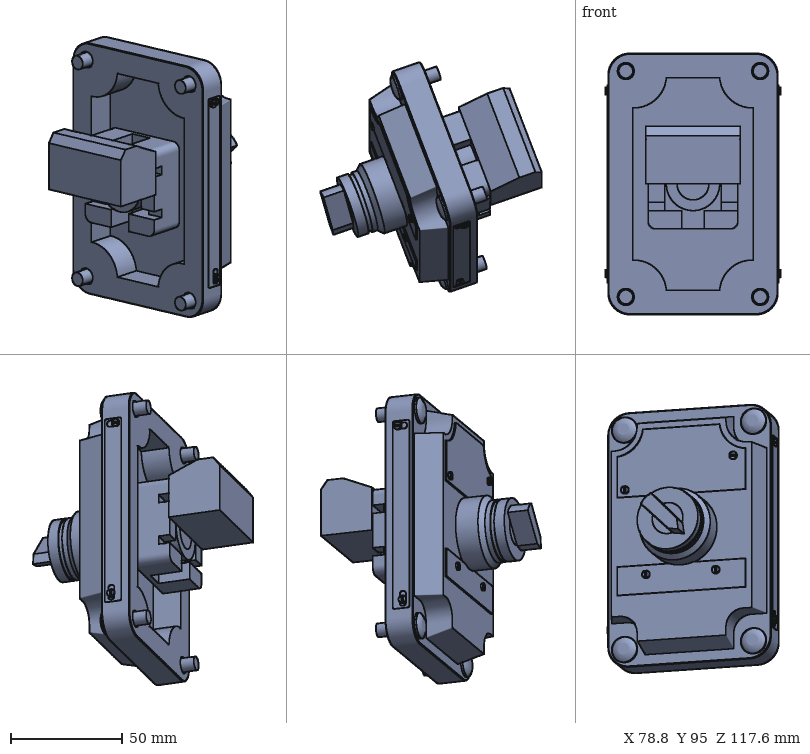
import cadquery as cq
import math


full_turn = 360

plate_width = 76.4
plate_height = 117.6
plate_depth = 13.3
plate_corner_radius = 9.9
plate_edge_chamfer = 0.4

cap_half_width = 32.9
cap_half_height = 50.3
cap_back = 25.9
cap_draft = 15.0
cap_depth = cap_back - plate_depth
cap_edge_fillet = 0.4
notch_inner_x = 20.8
notch_inner_z = 38.3
upper_notch_radius = 10.6
lower_notch_radius = 8.2

pocket_half_width = 27.2
pocket_half_height = 47.7
pocket_top_half_width = 12.0
pocket_side_half_height = 34.2
pocket_corner_radius = 14.7
pocket_depth = plate_depth

screw_x = 30.2
screw_z = 50.8
screw_radius = 3.2
screw_hole_radius = 3.8
screw_tip = -6.2
head_radius = 5.9
head_rim_height = 0.9
head_flat_radius = 2.7
dome_bulge = 0.2
head_height = 2.5

block_half = 20.2
block_front = -12.6
block_back = 4.9
block_corner_radius = 3.5
recess_half_width = 12.7
recess_floor = 2.4
slot_width = 10.2
side_notch_inner_z = 8.1
side_notch_depth = 5.3

barrel_radius = 12.0
spindle_radius = 7.2

collar_radius = 16.6
neck_radius = 14.2
groove_radius = 13.5
collar_end = 36.6
cone_end = 39.0
groove_start = 41.5
groove_end = 43.4
neck_end = 48.3

pointer_end = 58.0
pointer_tip = 7.8
pointer_shoulder_far = 7.0
pointer_shoulder_near = 2.7
pointer_round_far = 9.8
pointer_round_near = 5.0

handle_width = 42.3
handle_front = -37.0
handle_top = 26.0
handle_ridge_back = -26.2
handle_ridge_front = -33.9
handle_nose_top = 21.8

back_pad_inset = 2.9
back_pad_height = 0.7
upper_pad_bottom = collar_radius
lower_pad_top = -15.5
lower_pad_bottom = -28.7

side_pad_front = 3.8
side_pad_back = 11.8
side_pad_length = 88.7
side_pad_corner_radius = 0.9
side_pad_height = 0.4

pin_radius = 1.8
pin_height = 0.8
pin_slot_width = 0.8
pin_slot_depth = 0.5
upright = 90
left_pin = (-24.5, 32.3)
right_pin = (26.2, 19.8)
lower_pin_x = 16.3
lower_pin_z = -20.0
upper_side_pin = (6.4, 41.9)
lower_side_pin = (8.6, -40.3)

oblong_width = 2.9
upper_oblong_length = 5.8
upper_oblong = (7.8, 41.9)
lower_oblong_length = 7.0
lower_oblong = (8.6, -39.7)


def facing_front(y):
    """Sketch plane at depth y whose extrusions run toward -Y, with local axes X and Z."""
    return cq.Workplane("XZ", origin=(0, y, 0))


def cylinder(radius, y_start, y_end):
    """Cylinder on the spindle axis."""
    return facing_front(y_end).circle(radius).extrude(y_end - y_start)


def corner_points(x, z):
    return [(sx * x, sz * z) for sx in (-1, 1) for sz in (-1, 1)]


def corner_notches(inset, y_start, y_end):
    """Four cutters with a rounded inner corner that clear the screws, grown inward by the inset."""
    side = plate_height
    x = notch_inner_x - inset + side / 2
    z = notch_inner_z - inset + side / 2
    cutters = cq.Workplane()
    for centre_z, radius in ((z, upper_notch_radius), (-z, lower_notch_radius)):
        pair = facing_front(y_end).pushPoints([(-x, centre_z), (x, centre_z)]).rect(side, side)
        cutters = cutters.add(pair.extrude(y_end - y_start).edges("|Y").fillet(radius + inset))
    return cutters.combine()


def pocket_cutter():
    """Oblong pocket whose four corners curve inward around the screws."""
    w, h = pocket_half_width, pocket_half_height
    top, side = pocket_top_half_width, pocket_side_half_height
    mx, mz = pocket_arc_middle()
    outline = (
        facing_front(pocket_depth)
        .moveTo(-top, h)
        .lineTo(top, h)
        .threePointArc((mx, mz), (w, side))
        .lineTo(w, -side)
        .threePointArc((mx, -mz), (top, -h))
        .lineTo(-top, -h)
        .threePointArc((-mx, -mz), (-w, -side))
        .lineTo(-w, side)
        .threePointArc((-mx, mz), (-top, h))
        .close()
    )
    return outline.extrude(pocket_depth)


def pocket_arc_middle():
    """Middle of the upper right corner arc, bulging toward the pocket centre."""
    dx = pocket_half_width - pocket_top_half_width
    dz = pocket_half_height - pocket_side_half_height
    chord = math.hypot(dx, dz)
    sagitta = pocket_corner_radius - math.sqrt(pocket_corner_radius**2 - (chord / 2) ** 2)
    x = (pocket_half_width + pocket_top_half_width) / 2 - sagitta * dz / chord
    z = (pocket_half_height + pocket_side_half_height) / 2 - sagitta * dx / chord
    return x, z


def make_plate():
    plate = facing_front(plate_depth).rect(plate_width, plate_height).extrude(plate_depth)
    plate = plate.edges("|Y").fillet(plate_corner_radius)
    return plate.faces("<Y or >Y").chamfer(plate_edge_chamfer)


def make_cap():
    """Tapered block with notched corners; the slanted edges beside the notches are rounded."""
    cap = (
        facing_front(cap_back)
        .rect(2 * cap_half_width, 2 * cap_half_height)
        .extrude(cap_depth, taper=-cap_draft)
        .cut(corner_notches(0, plate_depth, cap_back))
    )
    return cap.edges("%LINE and (not |X) and (not |Y) and (not |Z)").fillet(cap_edge_fillet)


def slotted_pin(plane, slot_angle):
    """Round pin head raised along the plane's normal, with a slot across its end."""
    pin = cq.Workplane(plane).circle(pin_radius).extrude(pin_height)
    slot = (
        cq.Workplane(plane)
        .workplane(offset=pin_height - pin_slot_depth)
        .transformed(rotate=(0, 0, slot_angle))
        .rect(2 * pin_radius, pin_slot_width)
        .extrude(pin_slot_depth)
    )
    return pin.cut(slot)


def make_back_pads():
    """Pads that follow the cap outline and clear the collar, with four slotted pins."""
    pad_back = cap_back + back_pad_height
    pad_width = 2 * (cap_half_width - back_pad_inset)
    pads = cq.Workplane()
    for bottom, top in (
        (upper_pad_bottom, cap_half_height - back_pad_inset),
        (lower_pad_bottom, lower_pad_top),
    ):
        pad = facing_front(pad_back).center(0, (bottom + top) / 2).rect(pad_width, top - bottom)
        pads = pads.add(pad.extrude(back_pad_height))
    pads = pads.combine()
    pads = pads.cut(corner_notches(back_pad_inset, cap_back, pad_back))
    pads = pads.cut(cylinder(collar_radius, cap_back, pad_back))
    for (x, z), slot_angle in (
        (left_pin, 0),
        (right_pin, upright),
        ((-lower_pin_x, lower_pin_z), upright),
        ((lower_pin_x, lower_pin_z), upright),
    ):
        plane = cq.Plane(origin=(x, pad_back, z), xDir=(1, 0, 0), normal=(0, 1, 0))
        pads = pads.union(slotted_pin(plane, slot_angle))
    return pads


def make_side_pad():
    """Pad on the +X side of the plate, with a slotted pin in an oblong recess near each end."""
    inner = plate_width / 2
    face = inner + side_pad_height
    pad = (
        cq.Workplane("YZ", origin=(inner, (side_pad_front + side_pad_back) / 2, 0))
        .rect(side_pad_back - side_pad_front, side_pad_length)
        .extrude(side_pad_height)
        .edges("|X")
        .fillet(side_pad_corner_radius)
    )
    for pin, oblong, length, angle in (
        (upper_side_pin, upper_oblong, upper_oblong_length, 0),
        (lower_side_pin, lower_oblong, lower_oblong_length, upright),
    ):
        recess = cq.Workplane("YZ", origin=(inner, *oblong)).slot2D(length, oblong_width, angle)
        pad = pad.cut(recess.extrude(side_pad_height))
        shank = cq.Workplane("YZ", origin=(inner, *pin)).circle(pin_radius).extrude(side_pad_height)
        head_plane = cq.Plane(origin=(face, *pin), xDir=(0, 1, 0), normal=(1, 0, 0))
        pad = pad.union(shank).union(slotted_pin(head_plane, angle))
    return pad


def make_housing():
    holes = (
        facing_front(plate_depth)
        .pushPoints(corner_points(screw_x, screw_z))
        .circle(screw_hole_radius)
        .extrude(plate_depth)
    )
    side_pad = make_side_pad()
    housing = make_plate().union(make_cap()).union(make_back_pads())
    housing = housing.union(side_pad).union(side_pad.mirror("YZ"))
    return housing.cut(pocket_cutter()).cut(holes).cut(cylinder(barrel_radius, 0, cap_back))


def make_screw(x, z):
    """Dome-headed screw, its head seated on the back of the plate."""
    rim_y = plate_depth + head_rim_height
    top_y = plate_depth + head_height
    dome_middle = ((head_radius + head_flat_radius) / 2 + dome_bulge, (rim_y + top_y) / 2 + dome_bulge)
    profile = (
        cq.Workplane("XY")
        .moveTo(0, screw_tip)
        .lineTo(screw_radius, screw_tip)
        .lineTo(screw_radius, plate_depth)
        .lineTo(head_radius, plate_depth)
        .lineTo(head_radius, rim_y)
        .threePointArc(dome_middle, (head_flat_radius, top_y))
        .lineTo(0, top_y)
        .close()
    )
    return profile.revolve(full_turn, (0, 0, 0), (0, 1, 0)).translate((x, 0, z))


def make_block():
    """Square block with a recess around the barrel, slots above and below it and four side notches."""
    block = facing_front(block_back).rect(2 * block_half, 2 * block_half).extrude(block_back - block_front)
    block = block.edges("|Y").fillet(block_corner_radius)
    recess_depth = recess_floor - block_front
    recess = facing_front(recess_floor).rect(2 * recess_half_width, 2 * barrel_radius).extrude(recess_depth)
    slots = facing_front(recess_floor).rect(slot_width, 2 * block_half).extrude(recess_depth)
    notch_z = (barrel_radius + side_notch_inner_z) / 2
    side_notches = (
        facing_front(block_front + side_notch_depth)
        .pushPoints([(0, -notch_z), (0, notch_z)])
        .rect(2 * block_half, barrel_radius - side_notch_inner_z)
        .extrude(side_notch_depth)
    )
    bore = cylinder(barrel_radius, block_front, block_back)
    return block.cut(recess).cut(slots).cut(side_notches).cut(bore)


def make_barrel():
    """Sleeve that carries the block and runs through the housing."""
    sleeve = cylinder(barrel_radius, block_front, cap_back)
    return sleeve.cut(cylinder(spindle_radius, block_front, cap_back))


def make_collar():
    """Stepped collar with a retaining groove, bored for the spindle."""
    profile = [
        (spindle_radius, cap_back),
        (collar_radius, cap_back),
        (collar_radius, collar_end),
        (neck_radius, cone_end),
        (neck_radius, groove_start),
        (groove_radius, groove_start),
        (groove_radius, groove_end),
        (neck_radius, groove_end),
        (neck_radius, neck_end),
        (spindle_radius, neck_end),
    ]
    return cq.Workplane("XY").polyline(profile).close().revolve(full_turn, (0, 0, 0), (0, 1, 0))


def make_pointer():
    """Actuator with a pointed end toward (-X, -Z) and a round end concentric with the spindle."""
    round_middle = math.hypot(pointer_round_far, pointer_round_near) / math.sqrt(2)
    return (
        facing_front(pointer_end)
        .moveTo(-pointer_tip, -pointer_tip)
        .lineTo(-pointer_shoulder_far, -pointer_shoulder_near)
        .lineTo(pointer_round_near, pointer_round_far)
        .threePointArc((round_middle, round_middle), (pointer_round_far, pointer_round_near))
        .lineTo(-pointer_shoulder_near, -pointer_shoulder_far)
        .close()
        .extrude(pointer_end - neck_end)
    )


def make_spindle():
    """Round spindle flush with the front of the block, ending in the pointer."""
    return cylinder(spindle_radius, block_front, neck_end).union(make_pointer())


def make_handle():
    """Prism along X in front of the upper half of the block."""
    profile = [
        (block_front, 0),
        (block_front, block_half),
        (handle_ridge_back, handle_top),
        (handle_ridge_front, handle_top),
        (handle_front, handle_nose_top),
        (handle_front, 0),
    ]
    return cq.Workplane("YZ").polyline(profile).close().extrude(handle_width / 2, both=True)


housing = make_housing()
screws = [make_screw(x, z) for x, z in corner_points(screw_x, screw_z)]
block = make_block()
barrel = make_barrel()
spindle = make_spindle()
collar = make_collar()
handle = make_handle()

result = cq.Compound.makeCompound(
    [
        housing.val(),
        *[screw.val() for screw in screws],
        block.val(),
        barrel.val(),
        spindle.val(),
        collar.val(),
        handle.val(),
    ]
)